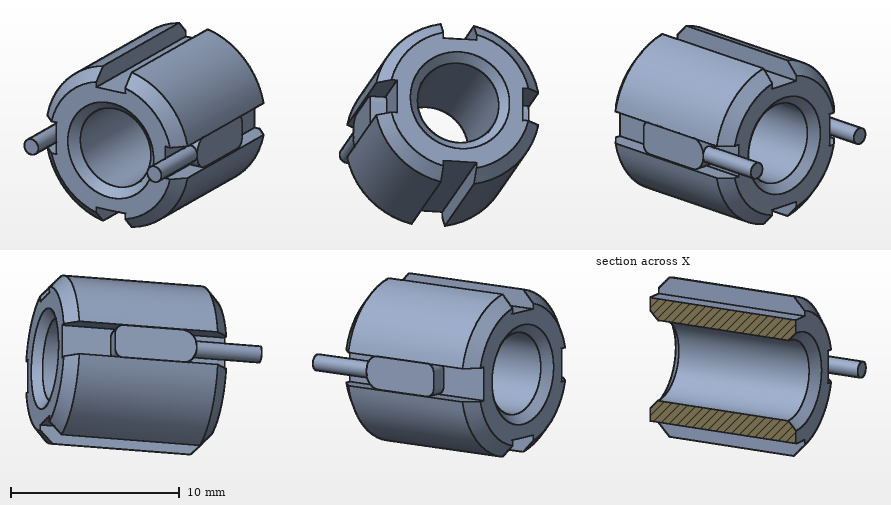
import cadquery as cq

total_length = 12.0
body_length = 10.0
body_radius = 5.0
body_chamfer = 0.75
bore_diameter = 4.92
countersink_diameter = 6.0
slot_width = 2.0
slot_floor_radius = 3.8
pin_diameter = 0.98
key_length = 5.0
key_front_gap = 2.0
key_front_fillet = 0.9
key_rear_fillet = 0.5

front_y = total_length / 2 - body_length
back_y = front_y + body_length
key_front_y = front_y + key_front_gap
key_thickness = pin_diameter
key_centre_radius = slot_floor_radius + key_thickness / 2


def make_sleeve():
    """Revolve the chamfered sleeve with both bore ends countersunk at 45 degrees."""
    bore_radius = bore_diameter / 2
    mouth_radius = countersink_diameter / 2
    sink_depth = mouth_radius - bore_radius
    face_radius = body_radius - body_chamfer
    profile = [
        (bore_radius, front_y + sink_depth),
        (mouth_radius, front_y),
        (face_radius, front_y),
        (body_radius, front_y + body_chamfer),
        (body_radius, back_y - body_chamfer),
        (face_radius, back_y),
        (mouth_radius, back_y),
        (bore_radius, back_y - sink_depth),
    ]
    return cq.Workplane("XY").polyline(profile).close().revolve(360, (0, 0, 0), (0, 1, 0))


def make_slot():
    """Full-length slot cutter on the +X side."""
    return cq.Workplane("XY").box(body_radius, body_length, slot_width).translate(
        (slot_floor_radius + body_radius / 2, (front_y + back_y) / 2, 0)
    )


def make_key():
    """Rounded key with its pin, lying on the floor of the +X slot."""
    key = (
        cq.Workplane("XY")
        .box(key_thickness, key_length, slot_width)
        .translate((key_centre_radius, key_front_y + key_length / 2, 0))
    )
    key = key.edges("|X and <Y").fillet(key_front_fillet)
    key = key.edges("|X and >Y").fillet(key_rear_fillet)
    pin_root_y = key_front_y + key_length / 2
    pin = (
        cq.Workplane("XZ", origin=(key_centre_radius, pin_root_y, 0))
        .circle(pin_diameter / 2)
        .extrude(pin_root_y + total_length / 2)
    )
    return key.union(pin)


result = make_sleeve()
for slot_angle in (0, 90, 180, 270):
    result = result.cut(make_slot().rotate((0, 0, 0), (0, 1, 0), slot_angle))
for key_angle in (0, 180):
    result = result.union(make_key().rotate((0, 0, 0), (0, 1, 0), key_angle))